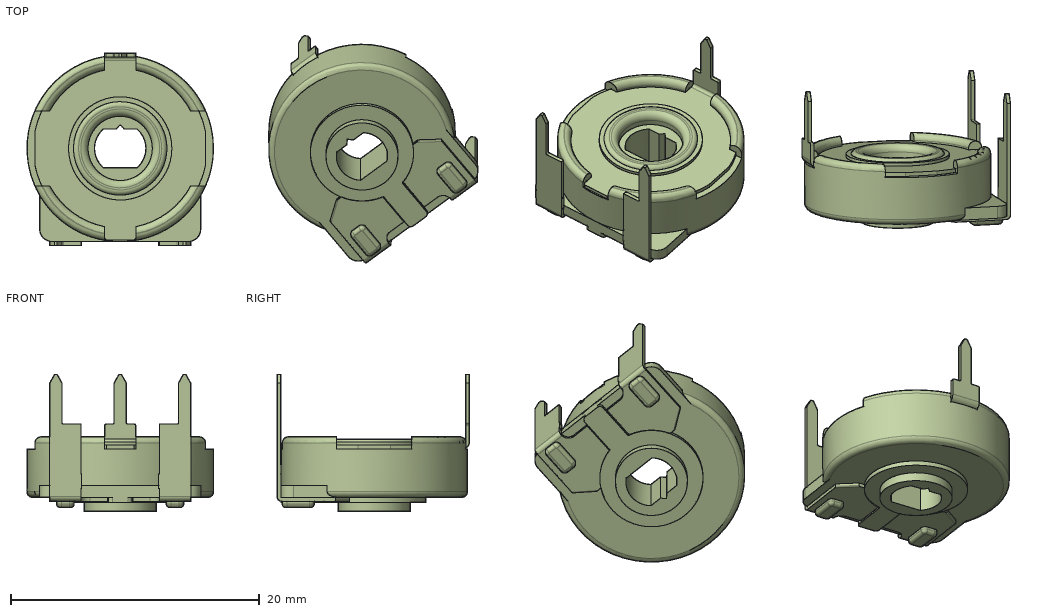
import cadquery as cq
import math


diagonal = math.sqrt(0.5)

sheet = 0.31
pin_width = 1.0
pin_top = 9.89
tip_length = 0.71
tip_width = 0.22
shoulder_z = 5.9
root_radius = 0.1

drum_radius = 14.99 / 2
drum_bottom_fillet = 0.46
seat_z = 3.9
cover_top = seat_z + sheet
rim_top = 4.88
rim_inner_radius = 6.41
rim_outer_fillet = 0.51
rim_inner_fillet = 0.54
side_slot_width = 6.03
tab_width = 2.5

foot_width = 12.95
foot_height = 0.97
foot_corner_radius = 1.02
foot_front = -drum_radius
boss_radius = 8.3 / 2
boss_depth = 0.39
rib_width = 1.92
rib_corner_radius = 0.32
stake_size_x = 1.42
stake_size_y = 2.6
stake_y = -6.1
stake_depth = 0.82
stake_corner_radius = 0.39
stake_end_fillet = 0.31

cover_radius = 6.98
cover_width = 13.72
front_tab_reach = 7.35
front_tab_chamfer = 0.14
back_pin_outer_y = 7.65
bend_inner_radius = 0.26
shoulder_radius = 0.14

terminal_outer_x = 5.67
leg_width = 2.53
leg_back = foot_front
leg_front = leg_back - sheet
bend_outer_radius = 0.37
barb_height = 0.05
barb_bottom = 0.71
barb_top = 1.9
leaf_corner_radius = 0.73
leaf_front = leg_back + leaf_corner_radius
leaf_outer_back = -3.09
leaf_inner_back = -1.98
leaf_gap = 0.08
leaf_edge_fillet = 0.1

shaft_radius = 5.8 / 2
shaft_bottom = -1.11
flange_radius = boss_radius
flange_thickness = 0.25
flange_top = cover_top + flange_thickness
collar_radius = 3.75
collar_top = 4.68
collar_crest_outer_radius = 3.34
collar_crest_inner_radius = 3.17
recess_radius = 2.58
recess_floor = 3.63
bore_radius = 2.05
bore_flat_distance = 1.55
notch_half_width = 0.34


def disc(radius, bottom, top):
    """Cylinder on the Z axis between two heights."""
    return cq.Workplane("XY").workplane(offset=bottom).circle(radius).extrude(top - bottom)


def block(x_range, y_range, z_range):
    """Axis-aligned box given by its limits along X, Y and Z."""
    spans = [high - low for low, high in (x_range, y_range, z_range)]
    return cq.Workplane("XY").box(*spans, centered=False).translate((x_range[0], y_range[0], z_range[0]))


def pin(center_x, front_y):
    """Upright solder pin with a tapered tip, standing on a shoulder."""
    half = pin_width / 2
    return (
        cq.Workplane("XZ", origin=(center_x, front_y, 0))
        .moveTo(-half, shoulder_z)
        .lineTo(half, shoulder_z)
        .lineTo(half, pin_top - tip_length)
        .lineTo(tip_width / 2, pin_top)
        .lineTo(-tip_width / 2, pin_top)
        .lineTo(-half, pin_top - tip_length)
        .close()
        .extrude(-sheet)
    )


def round_pin_root(sheet_part, root_x, front_y):
    """Fillet the inside corner where one edge of a pin meets its shoulder."""
    corner = cq.selectors.BoxSelector(
        (root_x - sheet / 2, front_y - sheet, shoulder_z - sheet / 2),
        (root_x + sheet / 2, front_y + 2 * sheet, shoulder_z + sheet / 2),
    )
    return sheet_part.edges("|Y").edges(corner).fillet(root_radius)


def stake(center_x):
    """Flat stake with rounded edges that reaches down through a terminal."""
    return (
        cq.Workplane("XY", origin=(center_x, stake_y, 0))
        .rect(stake_size_x, stake_size_y)
        .extrude(-stake_depth)
        .edges("|Z")
        .fillet(stake_corner_radius)
        .faces("<Z")
        .edges()
        .fillet(stake_end_fillet)
    )


def stake_center_x(side):
    """The stake is centred on the leg of its terminal."""
    return side * (terminal_outer_x - leg_width / 2)


def make_cover_disc():
    """Flat round plate with two flats across X and a chamfered tab at the front."""
    plate = disc(cover_radius, seat_z, cover_top).intersect(
        cq.Workplane("XY").rect(cover_width, 2 * cover_radius).extrude(cover_top)
    )
    tab = (
        block((-tab_width / 2, tab_width / 2), (-front_tab_reach, 0), (seat_z, cover_top))
        .edges("|Z and <Y")
        .chamfer(front_tab_chamfer)
    )
    return plate.union(tab)


def make_cover():
    """Contact cover whose back tab bends up into the middle pin."""
    inner_y = back_pin_outer_y - sheet
    bend_y = inner_y - bend_inner_radius
    bend_z = cover_top + bend_inner_radius
    outer_radius = bend_inner_radius + sheet
    strip = (
        cq.Workplane("YZ", origin=(-tab_width / 2, 0, 0))
        .moveTo(0, seat_z)
        .lineTo(bend_y, seat_z)
        .threePointArc(
            (bend_y + outer_radius * diagonal, bend_z - outer_radius * diagonal),
            (back_pin_outer_y, bend_z),
        )
        .lineTo(back_pin_outer_y, shoulder_z)
        .lineTo(inner_y, shoulder_z)
        .lineTo(inner_y, bend_z)
        .threePointArc(
            (bend_y + bend_inner_radius * diagonal, bend_z - bend_inner_radius * diagonal),
            (bend_y, cover_top),
        )
        .lineTo(0, cover_top)
        .close()
        .extrude(tab_width)
        .edges("|Y and >Z")
        .edges("<X or >X")
        .fillet(shoulder_radius)
    )
    cover = make_cover_disc().union(strip).union(pin(0, inner_y))
    for root_x in (-pin_width / 2, pin_width / 2):
        cover = round_pin_root(cover, root_x, inner_y)
    return cover.cut(disc(shaft_radius, seat_z, cover_top))


def make_drum():
    """Round housing wall with a rounded rim standing above the cover."""
    drum = disc(drum_radius, 0, rim_top).cut(disc(rim_inner_radius, cover_top, rim_top))
    drum = drum.faces("<Z").edges().fillet(drum_bottom_fillet)
    drum = drum.faces(">Z").edges(cq.selectors.RadiusNthSelector(1)).fillet(rim_outer_fillet)
    return drum.faces(">Z").edges(cq.selectors.RadiusNthSelector(0)).fillet(rim_inner_fillet)


def make_housing():
    """Drum with a foot plate, a boss and rib underneath, and two stakes."""
    foot = (
        block((-foot_width / 2, foot_width / 2), (foot_front, 0), (0, foot_height))
        .edges("|Z and <Y")
        .fillet(foot_corner_radius)
    )
    rib = (
        block((-rib_width / 2, rib_width / 2), (foot_front, 0), (-boss_depth, 0))
        .edges("|Z and <Y")
        .fillet(rib_corner_radius)
    )
    housing = make_drum().union(foot).union(rib).union(disc(boss_radius, -boss_depth, 0))
    for side in (-1, 1):
        housing = housing.union(stake(stake_center_x(side)))

    across = (-drum_radius, drum_radius)
    slot_heights = (seat_z, rim_top)
    side_slots = block(across, (-side_slot_width / 2, side_slot_width / 2), slot_heights)
    tab_slots = block((-tab_width / 2, tab_width / 2), across, slot_heights)
    housing = housing.cut(side_slots).cut(tab_slots).cut(make_cover_disc())
    return housing.cut(disc(shaft_radius, -boss_depth, seat_z))


def make_leaf():
    """Part of the left terminal under the foot, shaped around the boss, the rib and the stake."""
    leg_inner_x = leg_width - terminal_outer_x
    arc_offset = leaf_corner_radius * (1 - diagonal)
    leaf_inner_x = -rib_width / 2 - leaf_gap
    leaf = (
        cq.Workplane("XY")
        .moveTo(-terminal_outer_x, leg_front)
        .lineTo(leg_inner_x, leg_front)
        .lineTo(leg_inner_x, leg_back)
        .threePointArc(
            (leg_inner_x + arc_offset, leaf_front - arc_offset),
            (leg_inner_x + leaf_corner_radius, leaf_front),
        )
        .lineTo(leaf_inner_x, leaf_front)
        .lineTo(leaf_inner_x, leaf_inner_back)
        .lineTo(-boss_radius, leaf_inner_back)
        .lineTo(-terminal_outer_x, leaf_outer_back)
        .close()
        .extrude(-sheet)
    )
    slanted_edge = cq.selectors.BoxSelector(
        (-terminal_outer_x, leaf_outer_back, -1.5 * sheet),
        (-boss_radius, leaf_inner_back, -0.5 * sheet),
    )
    leaf = leaf.faces("<Z").edges(slanted_edge).fillet(leaf_edge_fillet)
    return leaf.cut(disc(boss_radius, -sheet, 0)).cut(stake(stake_center_x(-1)))


def make_left_terminal():
    """Bent terminal: a leaf under the foot and a leg up its front face, ending in a pin."""
    leg_inner_x = leg_width - terminal_outer_x
    pin_inner_x = pin_width - terminal_outer_x
    leg = block((-terminal_outer_x, leg_inner_x), (leg_front, leg_back), (-sheet, shoulder_z))
    barb = block((leg_inner_x, leg_inner_x + barb_height), (leg_front, leg_back), (barb_bottom, barb_top))
    terminal = make_leaf().union(leg)
    terminal = terminal.edges("|X and <Y and <Z").fillet(bend_outer_radius)
    terminal = terminal.union(barb).union(pin(pin_inner_x - pin_width / 2, leg_front))
    return round_pin_root(terminal, pin_inner_x, leg_front)


def make_terminal(side):
    """Left terminal for side -1, its mirror image for side 1."""
    terminal = make_left_terminal()
    return terminal if side < 0 else terminal.mirror("YZ")


def make_bore():
    """Through bore with two flats and a V notch that marks the pointer direction."""
    flats = block(
        (-bore_radius, bore_radius),
        (-bore_flat_distance, bore_flat_distance),
        (shaft_bottom, collar_top),
    )
    bore = disc(bore_radius, shaft_bottom, collar_top).intersect(flats)
    notch = (
        cq.Workplane("XY", origin=(0, 0, shaft_bottom))
        .moveTo(-notch_half_width, bore_flat_distance)
        .lineTo(0, bore_flat_distance + notch_half_width)
        .lineTo(notch_half_width, bore_flat_distance)
        .lineTo(0, 0)
        .close()
        .extrude(collar_top - shaft_bottom)
    )
    return bore.union(notch)


def make_rotor():
    """Shaft through the housing, with a flange and a rounded collar on top of the cover."""
    outer_run = collar_radius - collar_crest_outer_radius
    outer_rise = collar_top - flange_top
    inner_round = collar_crest_inner_radius - recess_radius
    profile = (
        cq.Workplane("XZ")
        .moveTo(0, shaft_bottom)
        .lineTo(shaft_radius, shaft_bottom)
        .lineTo(shaft_radius, cover_top)
        .lineTo(flange_radius, cover_top)
        .lineTo(flange_radius, flange_top)
        .lineTo(collar_radius, flange_top)
        .threePointArc(
            (collar_crest_outer_radius + outer_run * diagonal, flange_top + outer_rise * diagonal),
            (collar_crest_outer_radius, collar_top),
        )
        .lineTo(collar_crest_inner_radius, collar_top)
        .threePointArc(
            (collar_crest_inner_radius - inner_round * diagonal, collar_top - inner_round * (1 - diagonal)),
            (recess_radius, collar_top - inner_round),
        )
        .lineTo(recess_radius, recess_floor)
        .lineTo(0, recess_floor)
        .close()
    )
    return profile.revolve(360, (0, 0, 0), (0, 1, 0)).cut(make_bore())


housing = make_housing()
cover = make_cover()
rotor = make_rotor()
terminals = [make_terminal(side) for side in (-1, 1)]

result = cq.Compound.makeCompound(
    [housing.val(), cover.val(), rotor.val(), *[terminal.val() for terminal in terminals]]
)